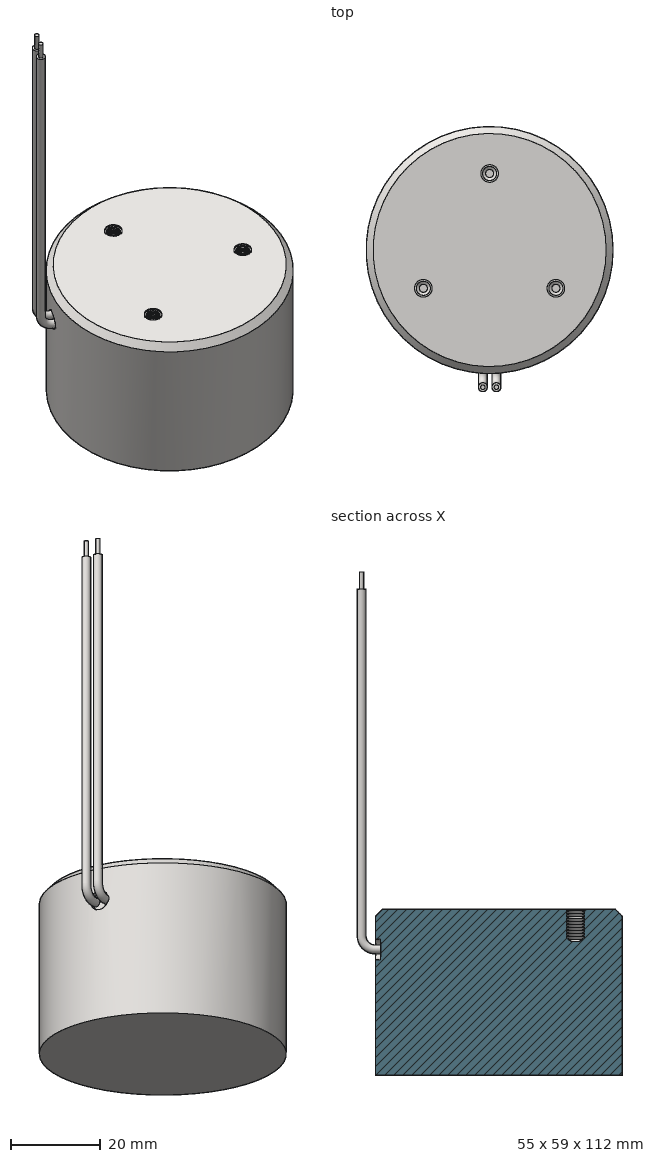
import cadquery as cq
import math

housing_diameter = 55.0
housing_height = 37.0
top_chamfer = 1.6

hole_count = 3
hole_circle_radius = 17.0
first_hole_angle = 90
thread_major_diameter = 3.9
thread_minor_diameter = 3.1
thread_pitch = 0.7
thread_turns = 10
groove_width = thread_pitch / 2
tip_diameter = 1.8
tip_depth = 0.5

entry_diameter = 4.5
entry_height = 28.0
entry_depth = 1.1

total_height = 112.0
total_depth = 59.0
wire_spacing = 3.0
wire_diameter = 2.0
core_diameter = 1.0
core_length = 3.8
bend_radius = 3.0

housing_radius = housing_diameter / 2
floor_radius = housing_radius - entry_depth
wire_y = housing_radius - total_depth + wire_diameter / 2
bend_start_y = wire_y + bend_radius
wire_positions = [-wire_spacing / 2, wire_spacing / 2]


def make_threaded_hole():
    """Cutter for one mounting hole, with its mouth centred on the origin."""
    thread_depth = thread_pitch * thread_turns
    bore = cq.Workplane("XY").circle(thread_minor_diameter / 2).extrude(-thread_depth)
    tip = (
        cq.Workplane("XY", origin=(0, 0, -thread_depth))
        .circle(thread_minor_diameter / 2)
        .workplane(offset=-tip_depth)
        .circle(tip_diameter / 2)
        .loft()
    )
    cutter = bore.union(tip)
    for turn in range(thread_turns):
        groove = (
            cq.Workplane("XY", origin=(0, 0, -turn * thread_pitch))
            .circle(thread_major_diameter / 2)
            .extrude(-groove_width)
        )
        cutter = cutter.union(groove)
    return cutter


def make_entry_bore(x, diameter):
    """Cylinder along Y from the curved recess floor out to where the wires start to bend."""
    floor_cylinder = cq.Workplane("XY").circle(floor_radius).extrude(housing_height)
    bore = (
        cq.Workplane("XZ", origin=(x, 0, entry_height))
        .circle(diameter / 2)
        .extrude(-bend_start_y)
    )
    return bore.cut(floor_cylinder)


def make_housing():
    body = cq.Workplane("XY").circle(housing_radius).extrude(housing_height)
    body = body.faces(">Z").edges().chamfer(top_chamfer)

    hole = make_threaded_hole()
    for index in range(hole_count):
        angle = math.radians(first_hole_angle + index * 360 / hole_count)
        x = hole_circle_radius * math.cos(angle)
        y = hole_circle_radius * math.sin(angle)
        body = body.cut(hole.translate((x, y, housing_height)))

    entry = make_entry_bore(0, entry_diameter)
    for x in wire_positions:
        entry = entry.union(make_entry_bore(x, wire_diameter))
    return body.cut(entry)


def make_wire(x):
    """One lead wire standing on the recess floor, centred at the given X."""
    bend_end_z = entry_height + bend_radius
    insulation_end_z = total_height - core_length

    root = make_entry_bore(x, wire_diameter)
    bend_path = (
        cq.Workplane("YZ", origin=(x, bend_start_y, entry_height))
        .radiusArc((-bend_radius, bend_radius), bend_radius)
    )
    bend = (
        cq.Workplane("XZ", origin=(x, bend_start_y, entry_height))
        .circle(wire_diameter / 2)
        .sweep(bend_path)
    )
    insulation = (
        cq.Workplane("XY", origin=(x, wire_y, bend_end_z))
        .circle(wire_diameter / 2)
        .extrude(insulation_end_z - bend_end_z)
    )
    core = (
        cq.Workplane("XY", origin=(x, wire_y, insulation_end_z))
        .circle(core_diameter / 2)
        .extrude(core_length)
    )
    return root.union(bend).union(insulation).union(core)


housing = make_housing()
wires = [make_wire(x) for x in wire_positions]
result = cq.Compound.makeCompound([housing.val(), *[wire.val() for wire in wires]])